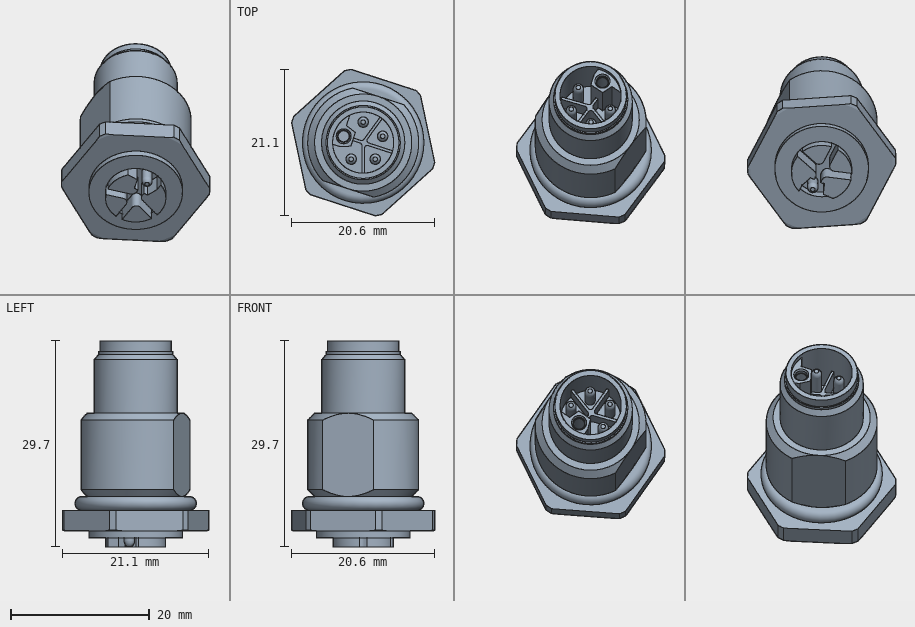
import cadquery as cq
import math

CARRIER_REAR_Z = 0.0
COLLAR_BOTTOM_Z = 1.35
HEX_BOTTOM_Z = 2.35
HEX_TOP_Z = 5.3
BODY_BOTTOM_Z = 7.3
BODY_TOP_Z = 19.3
SLEEVE_CHAMFER_Z = 27.0
LIP_BOTTOM_Z = 27.75
LIP_TOP_Z = 28.2
RIM_Z = 29.7

COLLAR_RADIUS = 6.75
BODY_RADIUS = 8.0
BODY_CHAMFER = 1.0
SLEEVE_RADIUS = 6.0
LIP_RADIUS = 5.35
RIM_RADIUS = 5.15
BORE_RADIUS = 4.4
BORE_FLOOR_Z = 21.2
CARRIER_RADIUS = 4.35

WRENCH_ANGLE = 72.0
FLATS_WIDTH = 14.0
HEX_WIDTH = 19.0
HEX_TURNED_RADIUS = 10.7
HEX_BEVEL_RADIUS = 10.27
HEX_BEVEL_ANGLE = 15.0

RING_OUTER_RADIUS = 8.75

CONTACT_CIRCLE_RADIUS = 2.95
CONTACT_SPACING = 360 / 5
KEY_ANGLE = 162.0
CONTACT_RADIUS = 0.75
CONTACT_TIP_RADIUS = 0.33
CONTACT_NOSE_LENGTH = 0.73
PIN_TIP_Z = 26.4
PIN_ROOT_Z = 14.0
REAR_PIN_TIP_Z = 0.1

KEY_TOP_Z = 28.9
KEY_INNER_REACH = 1.53
KEY_OUTER_REACH = 3.05
KEY_INNER_HALF_WIDTH = 1.04
KEY_OUTER_HALF_WIDTH = 1.58
KEY_HOLE_RADIUS = 0.88
KEY_HOLE_CHAMFER = 0.2
SOCKET_TOP_Z = 28.2
SOCKET_FLOOR_Z = 22.0
SOCKET_OUTER_RADIUS = 1.1
SOCKET_BORE_RADIUS = 0.8

WALL_TOP_Z = 24.8
WALL_THICKNESS = 0.38
SLOT_WIDTH = 1.04
WALL_HUB_FILLET = 0.4
SLOT_HUB_FILLET = 0.75
KEYWAY_CLEARANCE = 0.13
REAR_RECESS_DEPTH = 3.0


def cylinder(radius, bottom, top):
    return cq.Workplane("XY", origin=(0, 0, bottom)).circle(radius).extrude(top - bottom)


def turned_housing():
    body_chamfer_radius = BODY_RADIUS - BODY_CHAMFER
    profile = [
        (0, COLLAR_BOTTOM_Z),
        (COLLAR_RADIUS, COLLAR_BOTTOM_Z),
        (COLLAR_RADIUS, BODY_BOTTOM_Z),
        (body_chamfer_radius, BODY_BOTTOM_Z),
        (BODY_RADIUS, BODY_BOTTOM_Z + BODY_CHAMFER),
        (BODY_RADIUS, BODY_TOP_Z - BODY_CHAMFER),
        (body_chamfer_radius, BODY_TOP_Z),
        (SLEEVE_RADIUS, BODY_TOP_Z),
        (SLEEVE_RADIUS, SLEEVE_CHAMFER_Z),
        (LIP_RADIUS, LIP_BOTTOM_Z),
        (LIP_RADIUS, LIP_TOP_Z),
        (RIM_RADIUS, LIP_TOP_Z),
        (RIM_RADIUS, RIM_Z),
        (0, RIM_Z),
    ]
    turned = cq.Workplane("XZ").polyline(profile).close().revolve(360, (0, 0), (0, 1))

    flat_band = (
        cq.Workplane("XY", origin=(0, 0, BODY_BOTTOM_Z))
        .rect(FLATS_WIDTH, 4 * BODY_RADIUS)
        .extrude(BODY_TOP_Z - BODY_BOTTOM_Z)
        .rotate((0, 0, 0), (0, 0, 1), WRENCH_ANGLE)
    )
    body_envelope = cylinder(2 * BODY_RADIUS, BODY_BOTTOM_Z, BODY_TOP_Z)
    return turned.cut(body_envelope.cut(flat_band))


def hexagon():
    corner_radius = HEX_WIDTH / 2 / math.cos(math.radians(30))
    height = HEX_TOP_Z - HEX_BOTTOM_Z
    prism = (
        cq.Workplane("XY", origin=(0, 0, HEX_BOTTOM_Z))
        .polygon(6, 2 * corner_radius)
        .extrude(height)
        .rotate((0, 0, 0), (0, 0, 1), WRENCH_ANGLE + 30)
    )
    bevel_height = (HEX_TURNED_RADIUS - HEX_BEVEL_RADIUS) * math.tan(math.radians(HEX_BEVEL_ANGLE))
    turned_envelope = (
        cq.Workplane("XZ")
        .polyline([
            (0, HEX_BOTTOM_Z),
            (HEX_BEVEL_RADIUS, HEX_BOTTOM_Z),
            (HEX_TURNED_RADIUS, HEX_BOTTOM_Z + bevel_height),
            (HEX_TURNED_RADIUS, HEX_TOP_Z),
            (0, HEX_TOP_Z),
        ])
        .close()
        .revolve(360, (0, 0), (0, 1))
    )
    return prism.intersect(turned_envelope)


def star(thickness, hub_fillet, bottom, top):
    """Four radial arms between the contacts, with rounded inner corners."""
    arm_length = 2 * BORE_RADIUS
    arms = cq.Workplane("XY")
    for step in (0, 1.5, 2.5, 3.5):
        arm = (
            cq.Workplane("XY", origin=(0, 0, bottom))
            .center(arm_length / 2, 0)
            .rect(arm_length, thickness)
            .extrude(top - bottom)
            .rotate((0, 0, 0), (0, 0, 1), KEY_ANGLE + step * CONTACT_SPACING)
        )
        arms = arms.union(arm)
    hub = cq.selectors.BoxSelector(
        (-BORE_RADIUS / 2, -BORE_RADIUS / 2, bottom), (BORE_RADIUS / 2, BORE_RADIUS / 2, top)
    )
    return arms.union(cylinder(thickness / 2, bottom, top)).edges("|Z").edges(hub).fillet(hub_fillet)


def key_block(bottom, top, clearance=0.0):
    """Key outline drawn with its reach along X, then turned to the key's angle."""
    beyond_bore = 2 * BORE_RADIUS
    outline = [
        (KEY_INNER_REACH, -KEY_INNER_HALF_WIDTH),
        (KEY_OUTER_REACH, -KEY_OUTER_HALF_WIDTH),
        (KEY_OUTER_REACH, -beyond_bore),
        (beyond_bore, -beyond_bore),
        (beyond_bore, KEY_OUTER_HALF_WIDTH),
        (KEY_OUTER_REACH, KEY_OUTER_HALF_WIDTH),
        (KEY_INNER_REACH, KEY_INNER_HALF_WIDTH),
    ]
    sketch = cq.Workplane("XY", origin=(0, 0, bottom)).polyline(outline).close()
    if clearance > 0:
        sketch = sketch.offset2D(clearance, "intersection")
    return sketch.extrude(top - bottom).rotate((0, 0, 0), (0, 0, 1), KEY_ANGLE)


def contact_place(index):
    angle = math.radians(KEY_ANGLE + index * CONTACT_SPACING)
    return CONTACT_CIRCLE_RADIUS * math.cos(angle), CONTACT_CIRCLE_RADIUS * math.sin(angle)


def contact(index, root_z, tip_z):
    """Round pin whose nose narrows along an arc to a small flat tip."""
    toward_tip = math.copysign(1, tip_z - root_z)
    nose_z = tip_z - toward_tip * CONTACT_NOSE_LENGTH
    narrowing = CONTACT_RADIUS - CONTACT_TIP_RADIUS
    nose_radius = (narrowing**2 + CONTACT_NOSE_LENGTH**2) / (2 * narrowing)
    half_sweep = math.asin(CONTACT_NOSE_LENGTH / nose_radius) / 2
    arc_middle = (
        CONTACT_RADIUS - nose_radius * (1 - math.cos(half_sweep)),
        nose_z + toward_tip * nose_radius * math.sin(half_sweep),
    )
    pin = (
        cq.Workplane("XZ")
        .moveTo(0, root_z)
        .lineTo(CONTACT_RADIUS, root_z)
        .lineTo(CONTACT_RADIUS, nose_z)
        .threePointArc(arc_middle, (CONTACT_TIP_RADIUS, tip_z))
        .lineTo(0, tip_z)
        .close()
        .revolve(360, (0, 0), (0, 1))
    )
    x, y = contact_place(index)
    return pin.translate((x, y, 0))


def rear_socket_contact():
    """Rear-pointing pin with a tubular socket head inside the key."""
    head = cylinder(SOCKET_OUTER_RADIUS, PIN_ROOT_Z, SOCKET_TOP_Z)
    bore = cylinder(SOCKET_BORE_RADIUS, SOCKET_FLOOR_Z, SOCKET_TOP_Z)
    x, y = contact_place(0)
    return contact(0, PIN_ROOT_Z, REAR_PIN_TIP_Z).union(head.cut(bore).translate((x, y, 0)))


def key_hole():
    """Chamfered hole down through the key, wide enough below for the socket head."""
    chamfer_bottom_z = KEY_TOP_Z - KEY_HOLE_CHAMFER
    mouth = (
        cq.Workplane("XY", origin=(0, 0, chamfer_bottom_z))
        .circle(KEY_HOLE_RADIUS)
        .workplane(offset=KEY_HOLE_CHAMFER)
        .circle(KEY_HOLE_RADIUS + KEY_HOLE_CHAMFER)
        .loft()
    )
    x, y = contact_place(0)
    hole = mouth.union(cylinder(KEY_HOLE_RADIUS, SOCKET_TOP_Z, chamfer_bottom_z))
    hole = hole.union(cylinder(SOCKET_OUTER_RADIUS, PIN_ROOT_Z, SOCKET_TOP_Z))
    return hole.translate((x, y, 0))


def housing_body(contacts):
    bore = cylinder(BORE_RADIUS, BORE_FLOOR_Z, RIM_Z)
    walls = star(WALL_THICKNESS, WALL_HUB_FILLET, BORE_FLOOR_Z, WALL_TOP_Z)
    walls = walls.union(key_block(BORE_FLOOR_Z, KEY_TOP_Z))

    recess_top = CARRIER_REAR_Z + REAR_RECESS_DEPTH
    rear_recess = (
        star(SLOT_WIDTH, SLOT_HUB_FILLET, CARRIER_REAR_Z, recess_top)
        .union(key_block(CARRIER_REAR_Z, recess_top, KEYWAY_CLEARANCE))
        .intersect(cylinder(CARRIER_RADIUS, CARRIER_REAR_Z, recess_top))
    )

    housing = turned_housing().union(hexagon())
    housing = housing.union(cylinder(CARRIER_RADIUS, CARRIER_REAR_Z, HEX_TOP_Z))
    housing = housing.cut(bore.cut(walls)).cut(key_hole()).cut(rear_recess)
    for pin in contacts:
        housing = housing.cut(pin)
    return housing


def sealing_ring():
    """Flat-sided ring with a half-round outer edge."""
    edge_radius = (BODY_BOTTOM_Z - HEX_TOP_Z) / 2
    flat_outer_radius = RING_OUTER_RADIUS - edge_radius
    return (
        cq.Workplane("XZ")
        .moveTo(COLLAR_RADIUS, HEX_TOP_Z)
        .lineTo(flat_outer_radius, HEX_TOP_Z)
        .threePointArc((RING_OUTER_RADIUS, HEX_TOP_Z + edge_radius), (flat_outer_radius, BODY_BOTTOM_Z))
        .lineTo(COLLAR_RADIUS, BODY_BOTTOM_Z)
        .close()
        .revolve(360, (0, 0), (0, 1))
    )


rear_contact = rear_socket_contact()
front_contacts = [contact(index, PIN_ROOT_Z, PIN_TIP_Z) for index in range(1, 5)]
contacts = [rear_contact, *front_contacts]
housing = housing_body(contacts)
ring = sealing_ring()

result = cq.Compound.makeCompound([
    *housing.solids().vals(),
    ring.val(),
    *[pin.solids().val() for pin in contacts],
])